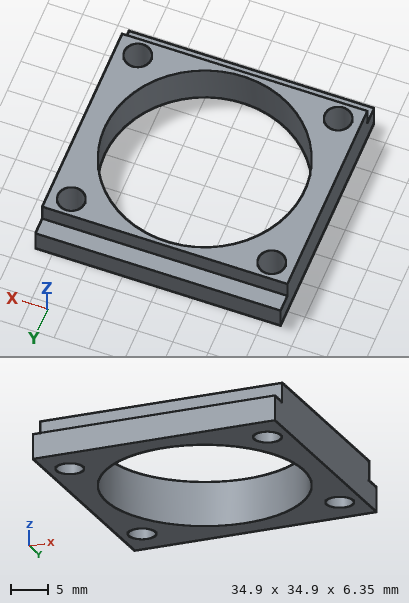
import cadquery as cq

side = 34.92
height = 6.35

ledge_width = 2.55
ledge_height = 3.55

bore_diameter = 28.45
hole_diameter = 3.8
hole_spacing_x = 28.53
hole_spacing_y = 24.75

base = cq.Workplane("XY").box(side, side, ledge_height, centered=(True, True, False))
platform = cq.Workplane("XY").box(
    side, side - 2 * ledge_width, height, centered=(True, True, False)
)
body = base.union(platform)

bore = cq.Workplane("XY").circle(bore_diameter / 2).extrude(height)
corner_holes = (
    cq.Workplane("XY")
    .rect(hole_spacing_x, hole_spacing_y, forConstruction=True)
    .vertices()
    .circle(hole_diameter / 2)
    .extrude(height)
)

result = body.cut(bore).cut(corner_holes)